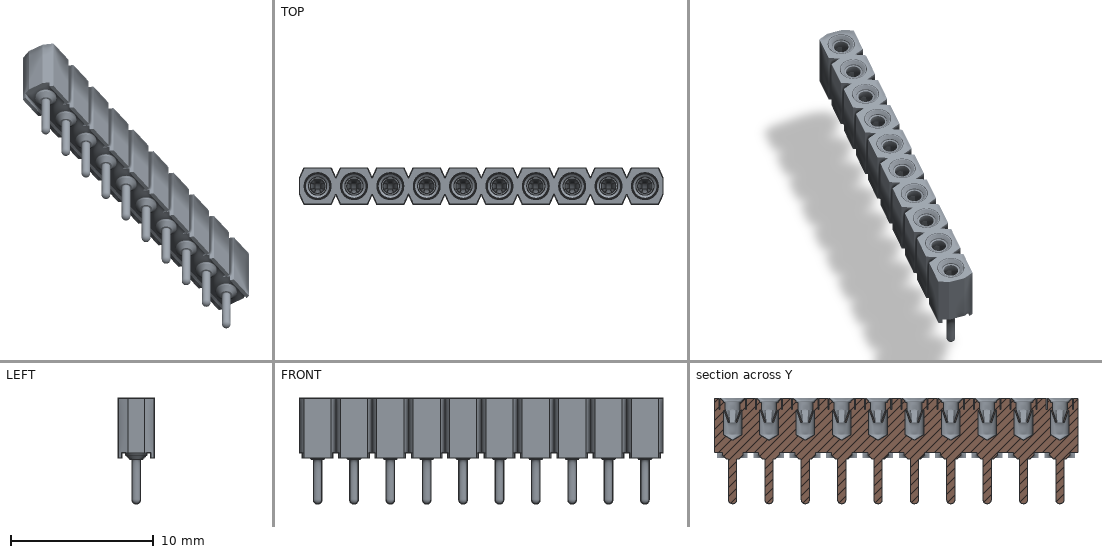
import cadquery as cq
import math

cell_count = 10
pitch = 2.55
body_width = 2.55
body_height = 4.2
total_height = 7.4

side_flat = 1.9
end_flat = 1.15

channel_width = 2.0
channel_depth = 0.38

mouth_diameter = 1.88
rim_diameter = 1.8
funnel_diameter = 1.7
rim_gap_depth = 0.75
bore_diameter = 1.27
funnel_depth = 0.2
bore_depth = 2.55
drill_point_angle = 118.0

clip_inner_diameter = 1.02
clip_drop = 0.08
clip_ring_height = 0.55
finger_count = 4
finger_root_width = 0.5
finger_tip_width = 0.3
finger_gap = 0.38
finger_drop = 0.9
finger_overlap = 0.05

shoulder_diameter = 1.47
shoulder_height = 0.15
taper_height = 0.3
tail_diameter = 0.6

body_top = body_height
tail_bottom = body_height - total_height
channel_roof = channel_depth
bore_radius = bore_diameter / 2
clip_radius = clip_inner_diameter / 2
tail_radius = tail_diameter / 2
shoulder_radius = shoulder_diameter / 2
clip_top = body_top - funnel_depth - clip_drop
ring_bottom = clip_top - clip_ring_height


def make_cell_block():
    """Octagonal prism for one cell, centred on the Z axis."""
    x_end = pitch / 2
    x_flat = side_flat / 2
    y_side = body_width / 2
    y_flat = end_flat / 2
    outline = [
        (x_flat, y_side), (x_end, y_flat), (x_end, -y_flat), (x_flat, -y_side),
        (-x_flat, -y_side), (-x_end, -y_flat), (-x_end, y_flat), (-x_flat, y_side),
    ]
    return cq.Workplane("XY").polyline(outline).close().extrude(body_height)


def make_channel():
    """Straight slot through the underside of one cell."""
    return cq.Workplane("XY").box(pitch, channel_width, channel_depth, centered=(True, True, False))


def make_rim_gap():
    """Narrow ring gap between the insulator and the metal socket rim."""
    return (
        cq.Workplane("XY", origin=(0, 0, body_top - rim_gap_depth))
        .circle(mouth_diameter / 2)
        .circle(rim_diameter / 2)
        .extrude(rim_gap_depth)
    )


def make_bore():
    """Lead-in funnel, straight bore and conical drill point."""
    bore_floor = body_top - bore_depth
    point_depth = bore_radius / math.tan(math.radians(drill_point_angle / 2))
    return (
        cq.Workplane("XZ")
        .moveTo(0, body_top)
        .lineTo(funnel_diameter / 2, body_top)
        .lineTo(bore_radius, body_top - funnel_depth)
        .lineTo(bore_radius, bore_floor)
        .lineTo(0, bore_floor - point_depth)
        .close()
        .revolve(360, (0, 0, 0), (0, 1, 0))
    )


def make_clip():
    """Ring lining the bore, with spring fingers sloping down and inward."""
    clip = (
        cq.Workplane("XY", origin=(0, 0, ring_bottom))
        .circle(bore_radius)
        .circle(clip_radius)
        .extrude(clip_ring_height)
    )
    finger_tip = finger_gap / 2
    finger_thickness = bore_radius - clip_radius
    finger_root = ring_bottom + finger_overlap
    finger_end = ring_bottom - finger_drop
    finger = (
        cq.Workplane("XZ")
        .moveTo(clip_radius, finger_root)
        .lineTo(finger_tip, finger_end)
        .lineTo(finger_tip + finger_thickness, finger_end)
        .lineTo(clip_radius + finger_thickness, finger_root)
        .close()
        .extrude(finger_root_width / 2, both=True)
    )
    half_root = finger_root_width / 2
    half_tip = finger_tip_width / 2
    taper_outline = [
        (finger_tip, -half_tip), (bore_radius, -half_root), (bore_radius, half_root), (finger_tip, half_tip),
    ]
    taper_prism = (
        cq.Workplane("XY", origin=(0, 0, finger_end))
        .polyline(taper_outline)
        .close()
        .extrude(finger_root - finger_end)
    )
    finger = finger.intersect(taper_prism)
    for index in range(finger_count):
        clip = clip.union(finger.rotate((0, 0, 0), (0, 0, 1), index * 360 / finger_count))
    return clip


def make_tail():
    """Shoulder under the body, 45 degree taper and round-ended solder pin."""
    shoulder_bottom = channel_roof - shoulder_height
    taper_bottom = shoulder_bottom - taper_height
    tip_start = tail_bottom + tail_radius
    tip_offset = tail_radius * math.sqrt(0.5)
    return (
        cq.Workplane("XZ")
        .moveTo(0, channel_roof)
        .lineTo(shoulder_radius, channel_roof)
        .lineTo(shoulder_radius, shoulder_bottom)
        .lineTo(shoulder_radius - taper_height, taper_bottom)
        .lineTo(tail_radius, taper_bottom)
        .lineTo(tail_radius, tip_start)
        .threePointArc((tip_offset, tip_start - tip_offset), (0, tail_bottom))
        .close()
        .revolve(360, (0, 0, 0), (0, 1, 0))
    )


def make_cell():
    """Complete socket cell with its contact and tail."""
    insulator = make_cell_block().cut(make_channel()).cut(make_rim_gap()).cut(make_bore())
    return insulator.union(make_clip()).union(make_tail())


cell = make_cell()
first_x = -pitch * (cell_count - 1) / 2
result = cell.translate((first_x, 0, 0))
for position in range(1, cell_count):
    result = result.union(cell.translate((first_x + position * pitch, 0, 0)))